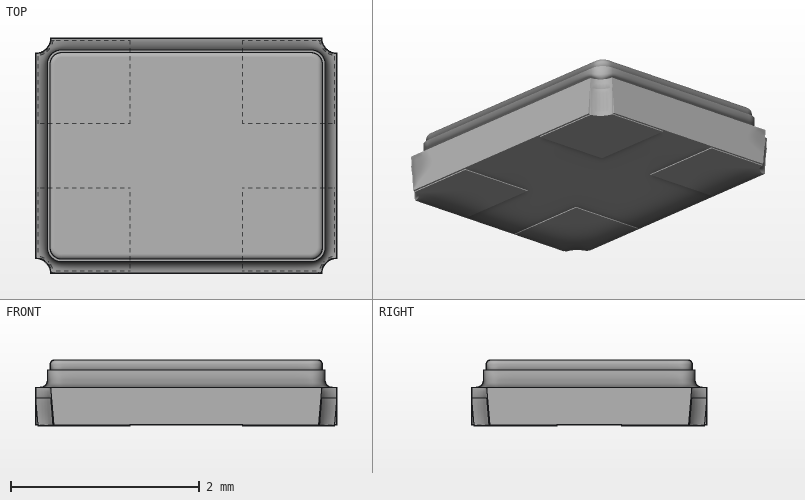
import cadquery as cq
import math

LENGTH = 3.2
WIDTH = 2.5
HEIGHT = 0.7

PAD_THICKNESS = 0.01
BASE_TOP = 0.41
FRAME_TOP = 0.595
PLATING_TOP = 0.298

FRAME_INSET = 0.125
LID_INSET = 0.155
CORNER_CENTRE_INSET = 0.275
COVE_RADIUS = 0.075
LID_EDGE_RADIUS = 0.05

NOTCH_TOP_RADIUS = 0.16
DRAFT_ANGLE = 5.0
PLATING_THICKNESS = 0.01

PAD_REACH_X = 1.0
PAD_REACH_Y = 0.905

DRAFT_SLOPE = math.tan(math.radians(DRAFT_ANGLE))
PLATING_INSET = PLATING_TOP * DRAFT_SLOPE
CORNERS = [(sx * LENGTH / 2, sy * WIDTH / 2) for sx in (-1, 1) for sy in (-1, 1)]


def block(inset, bottom, top):
    """Rectangular block set in evenly from the base sides."""
    return (
        cq.Workplane("XY", origin=(0, 0, bottom))
        .rect(LENGTH - 2 * inset, WIDTH - 2 * inset)
        .extrude(top - bottom)
    )


def rounded_block(inset, bottom, top):
    """Block whose corner rounds share the common corner centres."""
    return block(inset, bottom, top).edges("|Z").fillet(CORNER_CENTRE_INSET - inset)


def notch_radius(z):
    """Radius of the flared notch at height z."""
    return NOTCH_TOP_RADIUS + (BASE_TOP - z) * DRAFT_SLOPE


def corner_cones(top, reduction=0.0):
    """Flared cones on the four corners, from the underside up to a level."""
    cone = cq.Solid.makeCone(notch_radius(0) - reduction, notch_radius(top) - reduction, top)
    return cq.Workplane("XY").pushPoints(CORNERS).eachpoint(lambda place: cone.moved(place))


def ceramic_body():
    """Base with a coved frame standing on it, notched at the corners."""
    base = block(0, PAD_THICKNESS, BASE_TOP)
    body = base.union(rounded_block(FRAME_INSET, BASE_TOP, FRAME_TOP))
    frame_foot = cq.selectors.BoxSelector(
        (-LENGTH / 2 + FRAME_INSET / 2, -WIDTH / 2 + FRAME_INSET / 2, BASE_TOP - PAD_THICKNESS),
        (LENGTH / 2 - FRAME_INSET / 2, WIDTH / 2 - FRAME_INSET / 2, BASE_TOP + PAD_THICKNESS),
    )
    body = body.edges(frame_foot).fillet(COVE_RADIUS)
    return body.cut(corner_cones(BASE_TOP))


def lid():
    """Lid with a rounded top edge."""
    return rounded_block(LID_INSET, FRAME_TOP, HEIGHT).faces(">Z").edges().fillet(LID_EDGE_RADIUS)


def corner_plating():
    """Thin lining of the notches, its ends drawing in towards the underside."""
    lining = corner_cones(PLATING_TOP).cut(corner_cones(PLATING_TOP, PLATING_THICKNESS))
    limits = (
        cq.Workplane("XY", origin=(0, 0, PLATING_TOP))
        .rect(LENGTH, WIDTH)
        .extrude(-PLATING_TOP, taper=DRAFT_ANGLE)
    )
    return lining.intersect(limits)


def pads():
    """Flat pads at the corners of the underside, cut away by the notches."""
    centres = [
        (sx * (LENGTH / 2 - (PAD_REACH_X + PLATING_INSET) / 2),
         sy * (WIDTH / 2 - (PAD_REACH_Y + PLATING_INSET) / 2))
        for sx in (-1, 1)
        for sy in (-1, 1)
    ]
    plates = (
        cq.Workplane("XY")
        .pushPoints(centres)
        .rect(PAD_REACH_X - PLATING_INSET, PAD_REACH_Y - PLATING_INSET)
        .extrude(PAD_THICKNESS)
    )
    return plates.cut(corner_cones(PLATING_TOP, PLATING_THICKNESS))


result = ceramic_body().union(lid()).union(corner_plating()).union(pads())